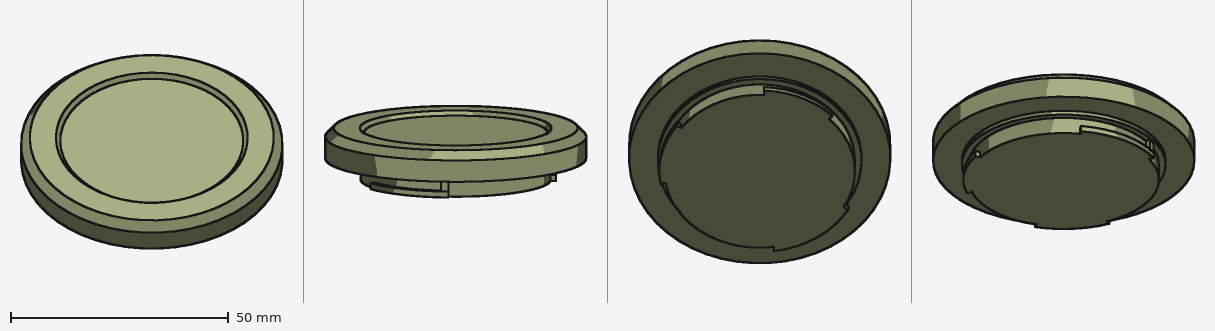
import cadquery as cq

total_height = 12.0
ring_height = 4.0
neck_height = 1.0
rim_bottom = ring_height + neck_height
rim_height = total_height - rim_bottom

rim_diameter = 60.0
neck_diameter = 46.8
ring_diameter = 43.7
lug_diameter = 46.1
stop_diameter = 46.0

rim_chamfer = 2.0
recess_diameter = 44.0
recess_floor_diameter = 42.0
recess_depth = 1.0

lug_height = 1.4
stop_span = (182.5, 186.6)
stop_lug_span = (132.8, stop_span[1])
front_lug_span = (275.7, 319.3)
rear_lug_span = (17.4, 61.4)
lug_spans = [rear_lug_span, stop_lug_span, front_lug_span]

ring_overlap = 1.0


def disc(diameter, bottom, height):
    """Cylinder about Z, standing on the given level."""
    return cq.Workplane("XY").workplane(offset=bottom).circle(diameter / 2).extrude(height)


def ring_sector(outer_diameter, height, span):
    """Sector of a ring about Z, standing on Z = 0, with radial ends."""
    inner_radius = ring_diameter / 2 - ring_overlap
    start_angle, end_angle = span
    return (
        cq.Workplane("XZ")
        .moveTo(inner_radius, 0)
        .lineTo(outer_diameter / 2, 0)
        .lineTo(outer_diameter / 2, height)
        .lineTo(inner_radius, height)
        .close()
        .revolve(end_angle - start_angle, (0, 0, 0), (0, 1, 0))
        .rotate((0, 0, 0), (0, 0, 1), start_angle)
    )


def make_cap():
    """Chamfered rim disc with a shallow conical-sided recess in its top."""
    rim = disc(rim_diameter, rim_bottom, rim_height).faces(">Z").chamfer(rim_chamfer)
    recess = (
        cq.Workplane("XY")
        .workplane(offset=total_height - recess_depth)
        .circle(recess_floor_diameter / 2)
        .workplane(offset=recess_depth)
        .circle(recess_diameter / 2)
        .loft()
    )
    return rim.cut(recess)


def make_bayonet():
    """Ring below the neck, with its lugs and the full-height stop."""
    bayonet = disc(ring_diameter, 0, ring_height)
    for span in lug_spans:
        bayonet = bayonet.union(ring_sector(lug_diameter, lug_height, span))
    return bayonet.union(ring_sector(stop_diameter, ring_height, stop_span))


neck = disc(neck_diameter, ring_height, neck_height)
result = make_cap().union(neck).union(make_bayonet())